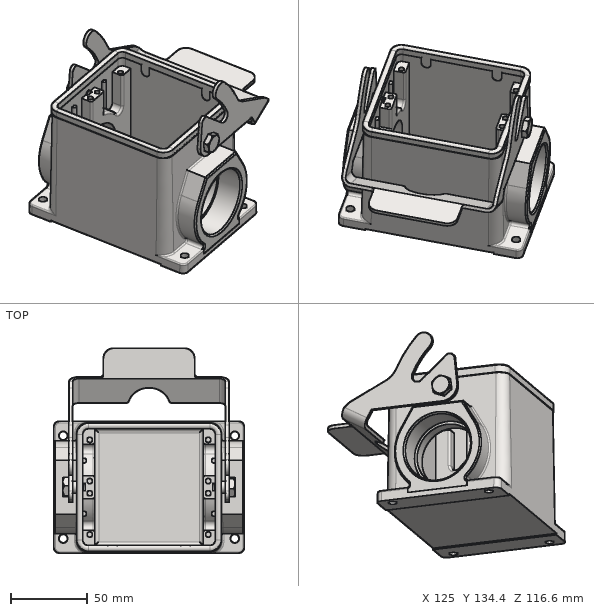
import cadquery as cq
import math

gasket_length = 94.7
gasket_width = 84.4
gasket_wall = 4.0
gasket_corner_radius = 7.6
gasket_shoulder = 89.8
gasket_top = 90.9
rim_top = 88.7
rim_inset = 1.2
rim_thickness = 1.6
rim_root_depth = 1.0
tongue_width = 6.3
tongue_bottom = 77.0
tongue_thickness = 1.2
tongue_x = 24.0

flange_length = 125.0
flange_width = 86.6
flange_height = 7.4
flange_corner_radius = 4.0
flange_edge_round = 0.9
flange_hole_diameter = 5.5
flange_hole_x = 56.2
flange_hole_y = 33.7
foot_recess_length = 87.0
foot_recess_depth = 1.0
body_height = 85.0
body_base_length = 96.2
body_corner_radius = 8.4
body_foot_round = 1.0
body_draft = 1.0
cavity_length = gasket_length - 2 * gasket_wall
cavity_width = gasket_width - 2 * gasket_wall
cavity_corner_radius = gasket_corner_radius - gasket_wall
lower_cavity_length = 71.0
floor_height = 5.0
floor_edge_round = 2.6

port_height = 33.0
port_bore_diameter = 42.0
port_counterbore_diameter = 45.7
port_counterbore_depth = 18.0
port_mouth_chamfer = 1.1
boss_radius = 30.4
boss_top_height = 63.0
boss_top_half_width = 17.6
boss_neck_radius = 1.8
boss_edge_chamfer = 1.0
boss_root_x = 40.5

pillar_height = 78.5
pillar_corner_round = 1.5
corner_pillar_y = 28.2
middle_pillar_y = 7.5
screw_hole_diameter = 3.5
screw_hole_x = 38.8
screw_hole_depth = 20.0
screw_hole_positions_y = (-31.0, -4.0, 4.0, 31.0)
pocket_floor_radius = 29.0
pocket_fillet_radius = 3.5
rib_radius = 1.6
rib_x = 42.6
rib_y = 17.4
rib_top = 78.0

pivot_height = 77.7
head_across_flats = 12.0
head_height = 4.0
head_rotation = 8.0
head_chamfer = 1.0
shoulder_diameter = 7.9
shoulder_end_x = 46.0
thread_diameter = 4.8
thread_end_x = 43.0
thread_hole_diameter = 4.9
thread_hole_end_x = 41.9

sheet = 2.5
lever_outer_x = 52.5
lever_hole_diameter = 8.1
lever_pivot_radius = 10.0
bend_outer_radius = 6.5
bar_slope = math.radians(30.0)
bar_length = 18.5
bar_end_rise = 5.9
bar_top_y = 72.3
bar_top_z = 65.9
bar_cutout_radius = 13.6
bar_cutout_depth = 11.5
bar_cutout_corner = 2.5
overall_width = 134.43
tab_end_y = overall_width - flange_width / 2
tab_half_width = 30.0
tab_corner_radius = 7.0
tab_root_round = 2.0

latch_back = (-8.0, 97.0)
latch_tip = (-5.7, 99.8)
latch_front = (-2.2, 99.0)
slot_end = (14.8, 84.2)
slot_bottom = (20.5, 84.2)
slot_start = (20.9, 89.9)
thumb_inner_middle = (13.7, 101.6)
thumb_outer_middle = (26.6, 104.4)
thumb_root = (32.7, 93.7)
thumb_root_middle = (36.0, 89.2)
shoulder_start = (41.0, 86.0)
shoulder_end = (65.0, 74.6)
shoulder_middle = (67.6, 72.6)
overall_height = 116.63
knob_radius = 6.15
knob_y = 13.9
knob_z = overall_height - knob_radius


def rounded_block(length, width, radius, bottom, top):
    block = cq.Workplane("XY").workplane(offset=bottom).rect(length, width)
    return block.extrude(top - bottom).edges("|Z").fillet(radius)


def drafted_block(length, width, radius, height):
    """Rounded block on the ground whose sides lean inward by the draft angle."""
    outline = cq.Workplane("XY").sketch().rect(length, width)
    outline = outline.vertices().fillet(radius).finalize()
    return outline.extrude(height, taper=body_draft)


def cylinder_x(diameter, x_start, x_end, y, z):
    """Cylinder along X between two X positions."""
    disc = cq.Workplane("YZ", origin=(x_start, 0, 0)).center(y, z).circle(diameter / 2)
    return disc.extrude(x_end - x_start)


def both_ends(shape):
    """The +X shape together with its mirror image at -X."""
    return shape.union(shape.mirror("YZ"))


def make_flange():
    flange = drafted_block(flange_length, flange_width, flange_corner_radius, flange_height)
    return flange.faces(">Z").edges().fillet(flange_edge_round)


def make_boss():
    """Cable entry boss at +X: round sides, sloped shoulders, flat top and a neck flared into the flange."""
    top_rise = boss_top_height - port_height
    corner_distance = math.hypot(boss_top_half_width, top_rise)
    corner_angle = math.atan2(top_rise, boss_top_half_width)
    tangent_angle = corner_angle - math.acos(boss_radius / corner_distance)
    tangent_y = boss_radius * math.cos(tangent_angle)
    tangent_z = port_height + boss_radius * math.sin(tangent_angle)

    neck_z = flange_height + boss_neck_radius
    neck_drop = port_height - neck_z
    neck_y = math.sqrt((boss_radius + boss_neck_radius) ** 2 - neck_drop**2)
    contact_scale = boss_radius / (boss_radius + boss_neck_radius)
    contact_y = neck_y * contact_scale
    contact_z = port_height - neck_drop * contact_scale
    contact_angle = math.atan2(contact_z - neck_z, contact_y - neck_y)
    middle_angle = (contact_angle + 1.5 * math.pi) / 2
    flare_y = neck_y + boss_neck_radius * math.cos(middle_angle)
    flare_z = neck_z + boss_neck_radius * math.sin(middle_angle)

    boss = (
        cq.Workplane("YZ")
        .workplane(offset=boss_root_x)
        .moveTo(-boss_top_half_width, boss_top_height)
        .lineTo(boss_top_half_width, boss_top_height)
        .lineTo(tangent_y, tangent_z)
        .threePointArc((boss_radius, port_height), (contact_y, contact_z))
        .threePointArc((flare_y, flare_z), (neck_y, flange_height))
        .lineTo(neck_y, flange_height / 2)
        .lineTo(-neck_y, flange_height / 2)
        .lineTo(-neck_y, flange_height)
        .threePointArc((-flare_y, flare_z), (-contact_y, contact_z))
        .threePointArc((-boss_radius, port_height), (-tangent_y, tangent_z))
        .close()
        .extrude(flange_length / 2 - boss_root_x)
    )
    return boss.faces(">X").edges("not(<Z)").chamfer(boss_edge_chamfer)


def round_body_foot(housing):
    """Concave rounding where the body meets the bosses and the flange."""
    pick_x = 0.7
    pick_z = 0.5
    end_margin = 1.5
    for side in (-1, 1):
        joint = cq.selectors.BoxSelector(
            (side * boss_root_x, end_margin - flange_width / 2, flange_height - pick_z),
            (side * (body_base_length / 2 + pick_x), flange_width / 2 - end_margin, boss_top_height + pick_z),
        )
        housing = housing.edges(joint).fillet(body_foot_round)
    return housing


def make_port():
    """Stepped bore of the +X cable entry with a chamfered mouth."""
    mouth_x = flange_length / 2
    mouth_start = mouth_x - port_mouth_chamfer
    counterbore_start = mouth_x - port_counterbore_depth
    counterbore_radius = port_counterbore_diameter / 2
    bore = cylinder_x(port_bore_diameter, 0, mouth_start, 0, port_height)
    counterbore = cylinder_x(port_counterbore_diameter, counterbore_start, mouth_start, 0, port_height)
    mouth = cq.Solid.makeCone(
        counterbore_radius,
        counterbore_radius + port_mouth_chamfer,
        port_mouth_chamfer,
        cq.Vector(mouth_start, 0, port_height),
        cq.Vector(1, 0, 0),
    )
    return bore.union(counterbore).union(cq.Workplane(mouth))


def make_pocket():
    """Pocket between the middle and the +Y corner pillar of the +X wall, floored by an arc around the port."""
    fillet_y = corner_pillar_y - pocket_fillet_radius
    fillet_rise = math.sqrt((pocket_floor_radius + pocket_fillet_radius) ** 2 - fillet_y**2)
    contact_scale = pocket_floor_radius / (pocket_floor_radius + pocket_fillet_radius)
    fillet_angle = math.atan2(-fillet_rise, -fillet_y) / 2
    floor_y = fillet_y * contact_scale
    floor_rise = fillet_rise * contact_scale
    start_rise = math.sqrt(pocket_floor_radius**2 - middle_pillar_y**2)
    floor_angle = (math.atan2(floor_rise, floor_y) + math.atan2(start_rise, middle_pillar_y)) / 2
    floor_middle = (
        pocket_floor_radius * math.cos(floor_angle),
        port_height + pocket_floor_radius * math.sin(floor_angle),
    )
    fillet_middle = (
        fillet_y + pocket_fillet_radius * math.cos(fillet_angle),
        port_height + fillet_rise + pocket_fillet_radius * math.sin(fillet_angle),
    )
    pocket = (
        cq.Workplane("YZ")
        .workplane(offset=lower_cavity_length / 2)
        .moveTo(middle_pillar_y, pillar_height)
        .lineTo(middle_pillar_y, port_height + start_rise)
        .threePointArc(floor_middle, (floor_y, port_height + floor_rise))
        .threePointArc(fillet_middle, (corner_pillar_y, port_height + fillet_rise))
        .lineTo(corner_pillar_y, pillar_height)
        .close()
        .extrude((cavity_length - lower_cavity_length) / 2)
    )
    rib = cq.Workplane("XY").center(rib_x, rib_y).circle(rib_radius).extrude(rib_top)
    return pocket.cut(rib)


def round_pillars(housing):
    """Round the upright pillar edges that face the cavity, and the pocket edges tangent to them."""
    pick = 0.1
    pick_top = pillar_height - 0.5
    pick_bottom = pillar_height - 22
    corners = []
    for side in (-1, 1):
        x = side * lower_cavity_length / 2
        for y in (-corner_pillar_y, -middle_pillar_y, middle_pillar_y, corner_pillar_y):
            corner = cq.selectors.BoxSelector((x - pick, y - pick, pick_bottom), (x + pick, y + pick, pick_top))
            corners.append(corner)
    pillar_edges = sum(corners[1:], corners[0])
    return housing.edges("|Z").edges(pillar_edges).fillet(pillar_corner_round)


def make_rim_block(bottom):
    """Outside of the narrow rim that carries the gasket, as a filled block."""
    return rounded_block(
        gasket_length - 2 * rim_inset,
        gasket_width - 2 * rim_inset,
        gasket_corner_radius - rim_inset,
        bottom,
        rim_top,
    )


def make_rim_opening():
    inset = rim_inset + rim_thickness
    return rounded_block(
        gasket_length - 2 * inset, gasket_width - 2 * inset, gasket_corner_radius - inset, body_height, rim_top
    )


def make_housing():
    body = drafted_block(body_base_length, flange_width, body_corner_radius, body_height)
    housing = make_flange().union(body).union(both_ends(make_boss()))
    housing = round_body_foot(housing)
    housing = housing.union(make_rim_block(body_height - rim_root_depth))

    upper_cavity = rounded_block(cavity_length, cavity_width, cavity_corner_radius, pillar_height, body_height)
    lower_cavity = cq.Workplane("XY").box(
        lower_cavity_length, cavity_width, pillar_height - floor_height, centered=(True, True, False)
    )
    lower_cavity = lower_cavity.translate((0, 0, floor_height)).faces("<Z").edges().fillet(floor_edge_round)
    housing = housing.cut(upper_cavity).cut(make_rim_opening()).cut(lower_cavity)

    pockets = make_pocket()
    pockets = pockets.union(pockets.mirror("XZ"))
    housing = housing.cut(both_ends(pockets))
    housing = round_pillars(housing)
    housing = housing.cut(both_ends(make_port()))

    hole_points = [(side * screw_hole_x, y) for side in (-1, 1) for y in screw_hole_positions_y]
    screw_holes = cq.Workplane("XY").workplane(offset=pillar_height).pushPoints(hole_points)
    housing = housing.cut(screw_holes.circle(screw_hole_diameter / 2).extrude(-screw_hole_depth))

    flange_holes = cq.Workplane("XY").rect(2 * flange_hole_x, 2 * flange_hole_y, forConstruction=True)
    housing = housing.cut(flange_holes.vertices().circle(flange_hole_diameter / 2).extrude(flange_height))

    foot_recess = cq.Workplane("XY").rect(foot_recess_length, flange_width).extrude(foot_recess_depth)
    housing = housing.cut(foot_recess)

    thread_hole = cylinder_x(thread_hole_diameter, thread_hole_end_x, lever_outer_x, 0, pivot_height)
    shoulder_seat = cylinder_x(lever_hole_diameter, shoulder_end_x, lever_outer_x, 0, pivot_height)
    return housing.cut(both_ends(thread_hole.union(shoulder_seat))).cut(make_tongues())


def make_tongues():
    """Round-ended locating tongues that hang from the gasket into the two long walls."""
    tongues = cq.Workplane("XY")
    profile = (
        cq.Workplane("XZ")
        .moveTo(-tongue_width / 2, body_height)
        .lineTo(-tongue_width / 2, tongue_bottom + tongue_width / 2)
        .threePointArc((0, tongue_bottom), (tongue_width / 2, tongue_bottom + tongue_width / 2))
        .lineTo(tongue_width / 2, body_height)
        .close()
        .extrude(-tongue_thickness)
    )
    for x in (-tongue_x, tongue_x):
        for turn in (0, 180):
            tongue = profile.translate((x, cavity_width / 2, 0)).rotate((0, 0, 0), (0, 0, 1), turn)
            tongues = tongues.union(tongue)
    return tongues


def make_gasket():
    """Channel-section gasket with a crowned top, straddling the rim."""
    path = cq.Workplane("XY").sketch().rect(gasket_length, gasket_width)
    path = path.vertices().fillet(gasket_corner_radius).finalize()
    path = path.extrude(gasket_top - body_height).faces("<Z").wires().translate((0, 0, body_height))
    outer = gasket_length / 2
    inner = outer - gasket_wall
    rim_outer = outer - rim_inset
    rim_inner = rim_outer - rim_thickness
    section = (
        cq.Workplane("XZ")
        .moveTo(outer, body_height)
        .lineTo(outer, gasket_shoulder)
        .threePointArc((outer - gasket_wall / 2, gasket_top), (inner, gasket_shoulder))
        .lineTo(inner, body_height)
        .lineTo(rim_inner, body_height)
        .lineTo(rim_inner, rim_top)
        .lineTo(rim_outer, rim_top)
        .lineTo(rim_outer, body_height)
        .close()
    )
    return section.sweep(path).union(make_tongues())


def make_bolt():
    """Hexagon shoulder bolt at +X."""
    corner_diameter = head_across_flats / math.cos(math.pi / 6)
    head = cq.Workplane("YZ").workplane(offset=lever_outer_x).polygon(6, corner_diameter).extrude(head_height)
    head = head.rotate((0, 0, 0), (1, 0, 0), 90 + head_rotation).translate((0, 0, pivot_height))
    blank = cylinder_x(corner_diameter, lever_outer_x, lever_outer_x + head_height, 0, pivot_height)
    head = head.intersect(blank.faces(">X").chamfer(head_chamfer))
    shoulder = cylinder_x(shoulder_diameter, shoulder_end_x, lever_outer_x, 0, pivot_height)
    thread = cylinder_x(thread_diameter, thread_end_x, shoulder_end_x, 0, pivot_height)
    return head.union(shoulder).union(thread)


bar_cos = math.cos(bar_slope)
bar_sin = math.sin(bar_slope)
bar_bottom_y = bar_top_y - bar_length * bar_cos
bar_bottom_z = bar_top_z - bar_length * bar_sin


def make_side_outline():
    """Solid with the lever's side outline, as wide as the lever."""
    lower_z = pivot_height - lever_pivot_radius
    elbow_run = (lower_z - bar_bottom_z) / bar_cos
    diagonal = lever_pivot_radius * math.sqrt(0.5)
    knob_run = knob_radius * math.sqrt(0.5)
    outline = (
        cq.Workplane("YZ")
        .moveTo(bar_top_y, bar_top_z)
        .lineTo(bar_bottom_y, bar_bottom_z)
        .lineTo(bar_bottom_y - elbow_run * bar_sin, lower_z)
        .lineTo(0, lower_z)
        .threePointArc((-diagonal, pivot_height - diagonal), (-lever_pivot_radius, pivot_height))
        .lineTo(*latch_back)
        .threePointArc(latch_tip, latch_front)
        .lineTo(*slot_end)
        .threePointArc(slot_bottom, slot_start)
        .threePointArc(thumb_inner_middle, (knob_y - knob_run, knob_z - knob_run))
        .threePointArc((knob_y, knob_z + knob_radius), (knob_y + knob_run, knob_z + knob_run))
        .threePointArc(thumb_outer_middle, thumb_root)
        .threePointArc(thumb_root_middle, shoulder_start)
        .lineTo(*shoulder_end)
        .threePointArc(
            shoulder_middle, (bar_top_y - bar_end_rise * bar_sin, bar_top_z + bar_end_rise * bar_cos)
        )
        .close()
    )
    return outline.extrude(lever_outer_x, both=True)


def channel_prism(inset):
    """Long prism inside the bent sheet's outer skin, set in by the given amount."""
    reach = 2 * lever_outer_x
    bar_plane = cq.Plane(origin=(0, bar_top_y, bar_top_z), xDir=(1, 0, 0), normal=(0, -bar_cos, -bar_sin))
    half = lever_outer_x - inset
    radius = bend_outer_radius - inset
    corner = radius * (1 - math.sqrt(0.5))
    profile = (
        cq.Workplane(bar_plane)
        .moveTo(-half, reach)
        .lineTo(-half, inset + radius)
        .threePointArc((-half + corner, inset + corner), (-half + radius, inset))
        .lineTo(half - radius, inset)
        .threePointArc((half - corner, inset + corner), (half, inset + radius))
        .lineTo(half, reach)
        .close()
    )
    return profile.extrude(reach, both=True)


def make_bar_cutout():
    """Round cut-out in the lower edge of the cross bar, with rounded entry corners."""
    bar_face = cq.Plane(origin=(0, bar_bottom_y, bar_bottom_z), xDir=(1, 0, 0), normal=(0, -bar_sin, bar_cos))
    center_v = bar_cutout_depth - bar_cutout_radius
    corner_u = math.sqrt((bar_cutout_radius + bar_cutout_corner) ** 2 - (bar_cutout_corner - center_v) ** 2)
    contact_scale = bar_cutout_radius / (bar_cutout_radius + bar_cutout_corner)
    contact_u = corner_u * contact_scale
    contact_v = center_v + (bar_cutout_corner - center_v) * contact_scale
    middle = (math.atan2(contact_v - bar_cutout_corner, contact_u - corner_u) - math.pi / 2) / 2
    blend_u = corner_u - bar_cutout_corner * abs(math.cos(middle))
    blend_v = bar_cutout_corner - bar_cutout_corner * abs(math.sin(middle))
    return (
        cq.Workplane(bar_face)
        .moveTo(-corner_u, 0)
        .threePointArc((-blend_u, blend_v), (-contact_u, contact_v))
        .threePointArc((0, bar_cutout_depth), (contact_u, contact_v))
        .threePointArc((blend_u, blend_v), (corner_u, 0))
        .close()
        .extrude(sheet)
    )


def add_finger_tab(lever):
    """Level finger tab on the upper edge of the cross bar, with rounded root corners."""
    pick = 0.1
    root_y = bar_top_y - sheet * bar_sin
    top_z = bar_top_z + sheet * bar_cos
    tab = cq.Workplane("XY").box(2 * tab_half_width, tab_end_y - root_y, sheet, centered=(True, False, False))
    tab = tab.translate((0, root_y, top_z - sheet))
    tab = tab.edges("|Z and >Y").fillet(tab_corner_radius)
    lever = lever.union(tab)
    root = cq.selectors.BoxSelector(
        (-tab_half_width - pick, root_y - pick, top_z - sheet),
        (tab_half_width + pick, bar_top_y + pick, top_z + pick),
    )
    corners = cq.selectors.ParallelDirSelector(cq.Vector(0, -bar_sin, bar_cos))
    return lever.edges(root).edges(corners).fillet(tab_root_round)


def make_lever():
    sheet_metal = channel_prism(0).cut(channel_prism(sheet))
    lever = sheet_metal.intersect(make_side_outline())
    lever = lever.cut(make_bar_cutout())
    lever = add_finger_tab(lever)
    pivot_hole = cylinder_x(lever_hole_diameter, -lever_outer_x, lever_outer_x, 0, pivot_height)
    return lever.cut(pivot_hole)


housing = make_housing()
gasket = make_gasket()
lever = make_lever()
bolt = make_bolt()
bolts = [bolt.rotate((0, 0, 0), (0, 0, 1), turn).val() for turn in (0, 180)]
result = cq.Compound.makeCompound([housing.val(), gasket.val(), lever.val(), *bolts])